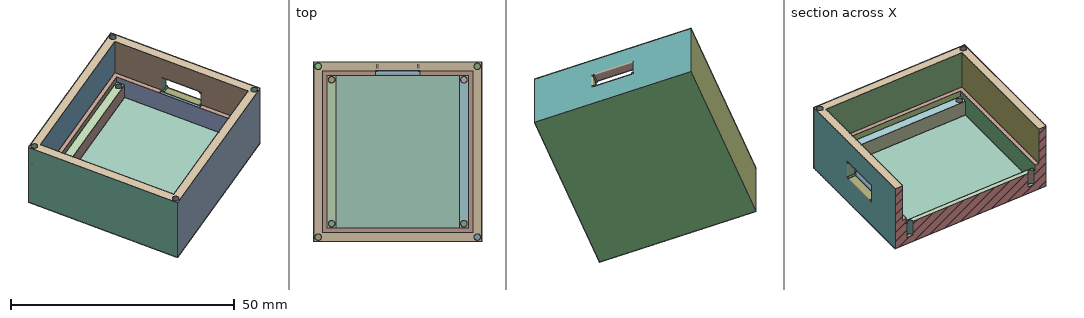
import cadquery as cq
import math

width = 37.55
length = 40.15
height = 17.6

rim_wall = 2.0
ledge_width = 1.0
rail_width = 2.0
ledge_depth = 10.0
rail_drop = 1.6
floor_thickness = 2.0

screw_diameter = 1.45
screw_depth = 5.0
rail_screw_depth = 4.0

port_mouth_width = 10.0
port_drop = 0.6
port_mouth_rise = 4.1
port_round = 0.235
port_bead_radius = 0.3
ledge_lip = 0.12
ledge_round = 1.1

ledge_z = height - ledge_depth
rail_z = ledge_z - rail_drop
upper_width = width - 2 * rim_wall
upper_length = length - 2 * rim_wall
lower_width = upper_width - 2 * ledge_width
lower_length = upper_length - 2 * ledge_width
floor_width = lower_width - 2 * rail_width


def cavity_step(x_size, y_size, bottom):
    """Rectangular step of the cavity, from its bottom up to the rim."""
    depth = height - bottom
    return cq.Workplane("XY").workplane(offset=bottom).rect(x_size, y_size).extrude(depth)


def screw_holes(x_pitch, y_pitch, top, depth):
    """Four blind holes at the corners of a rectangle, drilled down from the given height."""
    return (
        cq.Workplane("XY")
        .workplane(offset=top)
        .rect(x_pitch, y_pitch, forConstruction=True)
        .vertices()
        .circle(screw_diameter / 2)
        .extrude(-depth)
    )


def connector_port():
    """Port with rounded mouths: its plan outline crossed with its side outline."""
    outer_y = length / 2
    inner_y = upper_length / 2
    start_y = lower_length / 2 + ledge_lip
    mouth_x = port_mouth_width / 2
    throat_x = mouth_x - port_round
    floor_z = ledge_z - port_drop
    mouth_top = ledge_z + port_mouth_rise
    throat_top = mouth_top - port_round
    mid_arc = port_round * (1 - math.sqrt(0.5))

    half_plan = (
        cq.Workplane("XY")
        .moveTo(0, start_y)
        .lineTo(mouth_x, start_y)
        .lineTo(mouth_x, inner_y)
        .threePointArc((throat_x + mid_arc, inner_y + mid_arc), (throat_x, inner_y + port_round))
        .lineTo(throat_x, outer_y - port_round)
        .threePointArc((throat_x + mid_arc, outer_y - mid_arc), (mouth_x, outer_y))
        .lineTo(0, outer_y)
        .close()
        .extrude(height)
    )
    plan = half_plan.union(half_plan.mirror("YZ"))

    roll_angle = math.acos(1 - port_drop / ledge_round)

    def roll_point(angle):
        drop = ledge_round * (1 - math.cos(angle))
        return (start_y + ledge_round * math.sin(angle), ledge_z - drop)

    side = (
        cq.Workplane("YZ")
        .moveTo(start_y, ledge_z)
        .threePointArc(roll_point(roll_angle / 2), roll_point(roll_angle))
        .lineTo(outer_y - port_round, floor_z)
        .threePointArc((outer_y - mid_arc, floor_z - mid_arc), (outer_y, floor_z - port_round))
        .lineTo(outer_y, mouth_top)
        .threePointArc((outer_y - mid_arc, throat_top + mid_arc), (outer_y - port_round, throat_top))
        .lineTo(inner_y + port_round, throat_top)
        .threePointArc((inner_y + mid_arc, throat_top + mid_arc), (inner_y, mouth_top))
        .lineTo(start_y, mouth_top)
        .close()
        .extrude(mouth_x, both=True)
    )
    opening = plan.intersect(side)

    beads = (
        cq.Workplane("XZ", origin=(0, outer_y, 0))
        .pushPoints([(x, z) for x in (-throat_x, throat_x) for z in (floor_z, throat_top)])
        .circle(port_bead_radius)
        .extrude(outer_y - start_y)
    )
    return opening.cut(beads)


result = cq.Workplane("XY").rect(width, length).extrude(height)
result = result.cut(cavity_step(upper_width, upper_length, ledge_z))
result = result.cut(cavity_step(lower_width, lower_length, rail_z))
result = result.cut(cavity_step(floor_width, lower_length, floor_thickness))
result = result.cut(screw_holes(width - rim_wall, length - rim_wall, height, screw_depth))
result = result.cut(
    screw_holes(lower_width - rail_width, lower_length - rail_width, rail_z, rail_screw_depth)
)
result = result.cut(connector_port())